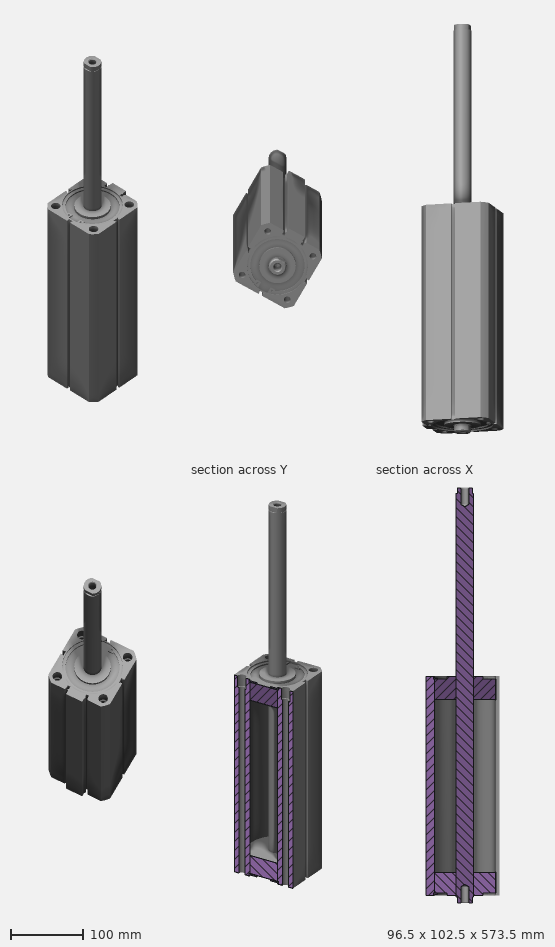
import cadquery as cq

body_length = 303.5
body_width = 96.5
corner_radius = 62.0
body_bottom = 10.5
body_top = body_bottom + body_length
body_middle = (body_bottom + body_top) / 2
half_width = body_width / 2

rail_width = 25.0
rail_height = 6.0
rail_groove_mouth = 6.0
rail_groove_wall = 4.0
rail_groove_depth = 7.0
rail_bevel_depth = 2.0
rail_lip = 2.0
rail_neck_depth = 3.5

slot_width = 6.0
slot_neck_depth = 3.0
slot_floor_width = 9.0
slot_depth = 4.5

hole_pitch = 71.5
hole_diameter = 9.0
counterbore_diameter = 13.0
counterbore_depth = 17.0

bore_radius = 42.0
cover_recess = 4.0
cover_length = 28.5
boss_radius = 25.0
flange_top = body_top - cover_recess

ring_thickness = 2.0
ring_seat_depth = 0.85
ring_outer_radius = bore_radius + ring_seat_depth
ring_inner_radius = 37.0
ring_gap = 15.0
ear_width = 7.5
ear_inner_y = -32.0
ear_outer_y = -39.0
ear_hole_diameter = 3.0

rod_length = 573.5
rod_radius = 12.5
tip_step = 0.45
tip_radius = rod_radius - tip_step
tip_flats = 21.0
top_tip_length = 7.5
bottom_tip_length = 8.5
tip_chamfer = 2.0
end_hole_radius = 5.0
end_hole_depth = 23.0
end_hole_mouth_radius = 6.5
end_hole_chamfer = end_hole_mouth_radius - end_hole_radius
end_hole_point = 3.0


def plane_at(z):
    return cq.Workplane("XY").workplane(offset=z)


def disc(radius, bottom, height):
    return plane_at(bottom).circle(radius).extrude(height)


def along_body(points):
    """Prism of the given cross-section over the whole housing length."""
    return plane_at(body_bottom).polyline(points).close().extrude(body_length)


def at_bottom_end(shape):
    """Copy of a shape at the top end, moved to the bottom end of the housing."""
    return shape.mirror("XY", (0, 0, body_middle))


def make_slot():
    """Undercut slot in the -Y face: a straight neck that widens to its floor."""
    neck_y = slot_neck_depth - half_width
    floor_y = slot_depth - half_width
    return along_body([
        (-slot_width / 2, -half_width),
        (-slot_width / 2, neck_y),
        (-slot_floor_width / 2, floor_y),
        (slot_floor_width / 2, floor_y),
        (slot_width / 2, neck_y),
        (slot_width / 2, -half_width),
    ])


def make_rail_groove():
    """Groove at the +X foot of the rail, narrowed below its mouth by a lip on the rail."""
    rail_side = rail_width / 2
    far_wall = rail_side + rail_groove_wall
    floor_y = half_width - rail_groove_depth
    return along_body([
        (rail_side, half_width),
        (rail_side + rail_groove_mouth, half_width),
        (far_wall, half_width - rail_bevel_depth),
        (far_wall, floor_y),
        (rail_side, floor_y),
        (rail_side, half_width - rail_neck_depth),
        (rail_side + rail_lip, half_width - rail_bevel_depth),
    ])


def make_profile():
    square = plane_at(body_bottom).rect(body_width, body_width).extrude(body_length)
    profile = square.intersect(disc(corner_radius, body_bottom, body_length))
    rail = (
        plane_at(body_bottom).center(0, half_width)
        .rect(rail_width, 2 * rail_height).extrude(body_length)
    )
    rail_groove = make_rail_groove()
    profile = profile.union(rail).cut(rail_groove).cut(rail_groove.mirror("YZ"))
    slot = make_slot()
    for angle in (-90, 0, 90):
        profile = profile.cut(slot.rotate((0, 0, 0), (0, 0, 1), angle))
    return profile


def make_housing():
    ring_seat = disc(ring_outer_radius, flange_top, ring_thickness)
    housing = make_profile().cut(disc(bore_radius, body_bottom, body_length))
    housing = housing.cut(ring_seat).cut(at_bottom_end(ring_seat))
    return (
        housing.faces(">Z").workplane(origin=(0, 0, body_top))
        .rect(hole_pitch, hole_pitch, forConstruction=True).vertices()
        .cboreHole(hole_diameter, counterbore_diameter, counterbore_depth)
    )


def make_cover():
    cover = disc(bore_radius, flange_top - cover_length, cover_length)
    cover = cover.union(disc(boss_radius, flange_top, cover_recess))
    return cover.cut(disc(rod_radius, body_bottom, body_length))


def make_ring():
    """Open ring with its gap at -Y and a drilled ear on each side of the gap."""
    seat = plane_at(flange_top)
    ear_x = (ring_gap + ear_width) / 2
    ear_y = (ear_inner_y + ear_outer_y) / 2
    ear_centres = [(-ear_x, ear_y), (ear_x, ear_y)]
    gap = seat.center(0, -bore_radius).rect(ring_gap, bore_radius).extrude(ring_thickness)
    ears = (
        seat.pushPoints(ear_centres).rect(ear_width, ear_inner_y - ear_outer_y)
        .extrude(ring_thickness)
    )
    ear_holes = seat.pushPoints(ear_centres).circle(ear_hole_diameter / 2).extrude(ring_thickness)
    ring = seat.circle(ring_outer_radius).circle(ring_inner_radius).extrude(ring_thickness)
    return ring.cut(gap).union(ears).cut(ear_holes)


def make_tip(blank, bottom, length):
    """Rod tip: a round blank flattened on its -Y and +Y sides."""
    flats = plane_at(bottom).rect(2 * rod_radius, tip_flats).extrude(length)
    return blank.intersect(flats)


def make_end_hole():
    """Blind hole in the top end of the rod, with a chamfered mouth and a drill point."""
    hole_bottom = rod_length - end_hole_depth
    return (
        cq.Workplane("XZ")
        .polyline([
            (0, rod_length),
            (end_hole_mouth_radius, rod_length),
            (end_hole_radius, rod_length - end_hole_chamfer),
            (end_hole_radius, hole_bottom),
            (0, hole_bottom - end_hole_point),
        ])
        .close().revolve(360, (0, 0), (0, 1))
    )


def make_rod():
    top_tip_bottom = rod_length - top_tip_length
    top_blank = disc(tip_radius, top_tip_bottom, top_tip_length)
    bottom_blank = disc(tip_radius, 0, bottom_tip_length).faces("<Z").chamfer(tip_chamfer)
    end_hole = make_end_hole()
    return (
        disc(rod_radius, bottom_tip_length, top_tip_bottom - bottom_tip_length)
        .union(make_tip(top_blank, top_tip_bottom, top_tip_length))
        .union(make_tip(bottom_blank, 0, bottom_tip_length))
        .cut(end_hole)
        .cut(end_hole.mirror("XY", (0, 0, rod_length / 2)))
    )


housing = make_housing()
rod = make_rod()
top_cover = make_cover()
bottom_cover = at_bottom_end(top_cover)
top_ring = make_ring()
bottom_ring = at_bottom_end(top_ring)

result = cq.Compound.makeCompound([
    housing.val(),
    rod.val(),
    top_cover.val(),
    bottom_cover.val(),
    top_ring.val(),
    bottom_ring.val(),
])